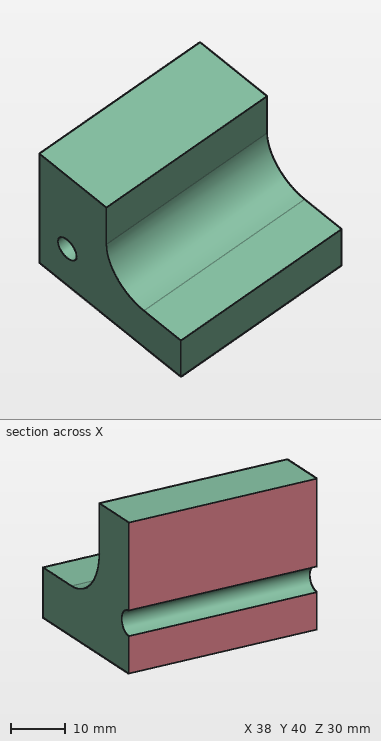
import cadquery as cq

width = 38.0
depth = 40.0
height = 30.0

wall_thickness = 18.0
base_thickness = 10.0
inner_radius = 10.0

hole_diameter = 5.0
hole_x = 1.5 * hole_diameter
hole_z = base_thickness


def make_bracket():
    """Extrude an L-shaped profile along Y, then round its inner corner."""
    wall = cq.Workplane("XY").box(wall_thickness, depth, height, centered=False)
    base = cq.Workplane("XY").box(width, depth, base_thickness, centered=False)
    corner = cq.selectors.NearestToPointSelector((wall_thickness, depth / 2, base_thickness))
    return wall.union(base).edges("|Y").edges(corner).fillet(inner_radius)


def make_hole():
    """Cylinder along Y that passes through the whole bracket."""
    return (
        cq.Workplane("XZ")
        .center(hole_x, hole_z)
        .circle(hole_diameter / 2)
        .extrude(-depth)
    )


result = make_bracket().cut(make_hole())